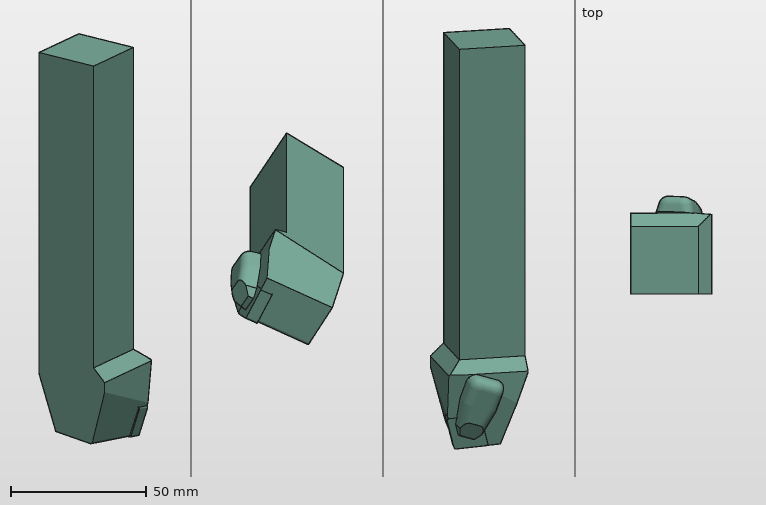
import cadquery as cq
import math

total_height = 152.4
shank_width = 25.0
head_width = 30.0
flare_start = 33.8
flare_drop = 4.7
head_depth = 29.9
blank_bottom = -7.6

lean_angle_x = 4.7
lean_angle_z = 7.9
side_wall_angle = 15.0
end_wall_angle = 5.0
back_wall_angle = 20.0
back_wall_start = 26.2
head_corner_x = 24.2
head_corner_z = 3.7
head_corner_radius = 0.9

insert_side = 12.6
insert_angle = 90 + side_wall_angle - end_wall_angle
insert_thickness = 4.7
insert_corner_radius = 0.8
insert_tip = cq.Vector(27.0, 25.6, -0.05)

clamp_angle = 18.0
clamp_end_x = 15.4
clamp_end_z = 27.9
clamp_half_width = 7.3
clamp_shoulder = 10.7
clamp_neck_half_width = 5.3
clamp_neck = 21.0
clamp_nose_half_width = 3.0
clamp_length = 24.7
clamp_height = 6.2
clamp_draft = 14.0
clamp_corner_radius = 3.7
clamp_edge_radius = 3.5
nose_slope_start = 16.9
nose_slope_angle = 30.0


def sin(angle):
    return math.sin(math.radians(angle))


def cos(angle):
    return math.cos(math.radians(angle))


def tan(angle):
    return math.tan(math.radians(angle))


lean_direction = cq.Vector(tan(lean_angle_x), 1, -tan(lean_angle_z))


def rake_plane(x, z, direction):
    """Plane of the rake face with its origin at x and z, its X axis being the direction laid flat into it."""
    lean = lean_direction
    y = insert_tip.y - lean.x * (x - insert_tip.x) - lean.z * (z - insert_tip.z)
    flat = direction - lean * (direction.dot(lean) / lean.dot(lean))
    return cq.Plane(origin=(x, y, z), xDir=flat.toTuple(), normal=lean.toTuple())


def placed(shape, plane):
    """The shape moved from the world axes into the axes of the plane."""
    return cq.Workplane(shape.val().moved(cq.Location(plane)))


def flared_profile(plane, full_width, extrusion):
    """Shank profile that widens into the head at the flare."""
    flare_slope = flare_drop / (head_width - shank_width)
    flare_end = flare_start - flare_slope * (full_width - shank_width)
    outline = [
        (0, blank_bottom),
        (full_width, blank_bottom),
        (full_width, flare_end),
        (shank_width, flare_start),
        (shank_width, total_height),
        (0, total_height),
    ]
    return cq.Workplane(plane).polyline(outline).close().extrude(extrusion)


def make_relief_envelope():
    """Prism along the leaning direction, whose lower sides are the back, end and side walls."""
    wall_top = total_height + head_depth
    meet_x = (back_wall_start - head_corner_z - head_corner_x * tan(end_wall_angle)) / (
        1 / tan(back_wall_angle) - tan(end_wall_angle)
    )
    meet_z = back_wall_start - meet_x / tan(back_wall_angle)
    outline = [
        (meet_x, meet_z),
        (head_corner_x, head_corner_z),
        (head_corner_x + (wall_top - head_corner_z) * tan(side_wall_angle), wall_top),
        ((back_wall_start - wall_top) * tan(back_wall_angle), wall_top),
    ]
    wire = cq.Wire.makePolygon([cq.Vector(x, 0, z) for x, z in outline], close=True)
    corner = [v for v in wire.Vertices() if v.X == head_corner_x]
    wire = wire.fillet2D(head_corner_radius, corner)
    return cq.Workplane(cq.Solid.extrudeLinear(wire, [], lean_direction * head_depth))


def make_rake_cutter():
    """Block that removes all of the head above the rake face."""
    size = 4 * head_width
    cutter = cq.Workplane().box(size, size, head_depth, centered=(True, True, False))
    return placed(cutter, rake_plane(insert_tip.x, insert_tip.z, cq.Vector(1, 0, 0)))


def make_insert():
    """Insert body, its upper side lying in the rake face."""
    corner_run = insert_side * cos(insert_angle)
    corner_rise = insert_side * sin(insert_angle)
    outline = [
        (0, 0),
        (insert_side, 0),
        (insert_side + corner_run, corner_rise),
        (corner_run, corner_rise),
    ]
    insert_body = (
        cq.Workplane()
        .workplane(offset=-insert_thickness)
        .polyline(outline)
        .close()
        .extrude(insert_thickness)
        .edges("|Z")
        .fillet(insert_corner_radius)
    )
    end_edge = cq.Vector(-cos(end_wall_angle), 0, sin(end_wall_angle))
    return placed(insert_body, rake_plane(insert_tip.x, insert_tip.z, end_edge))


def make_clamp():
    """Drafted clamp with rounded edges and a sloping nose."""
    left_side = [
        (-clamp_half_width, -clamp_height),
        (-clamp_half_width, clamp_shoulder),
        (-clamp_neck_half_width, clamp_neck),
        (-clamp_nose_half_width, clamp_length),
    ]
    right_side = [(-x, y) for x, y in reversed(left_side)]
    clamp = (
        cq.Workplane()
        .polyline(left_side + right_side)
        .close()
        .extrude(clamp_height, taper=clamp_draft)
    )
    end_cutter = cq.Workplane().rect(3 * clamp_half_width, 2 * clamp_height).extrude(clamp_height)
    clamp = (
        clamp.cut(end_cutter.translate((0, -clamp_height, 0)))
        .faces("<Y")
        .edges("not |X")
        .fillet(clamp_corner_radius)
    )
    slope_run = clamp_length - nose_slope_start
    nose_cutter = (
        cq.Workplane("YZ")
        .polyline([
            (nose_slope_start, clamp_height),
            (clamp_length, clamp_height),
            (clamp_length, clamp_height - slope_run * tan(nose_slope_angle)),
        ])
        .close()
        .extrude(clamp_half_width, both=True)
    )
    clamp = clamp.cut(nose_cutter)
    clamp = clamp.faces(">Z").edges("not(>Y)").fillet(clamp_edge_radius)
    across = cq.Vector(cos(clamp_angle), 0, sin(clamp_angle))
    return placed(clamp, rake_plane(clamp_end_x, clamp_end_z, across))


def make_holder(insert):
    """Shank and head with the insert pocket and the clamp."""
    side_profile = flared_profile("XZ", head_width, -head_depth)
    edge_profile = flared_profile("YZ", head_depth, head_width)
    body = side_profile.intersect(edge_profile).intersect(make_relief_envelope())
    body = body.cut(make_rake_cutter()).cut(insert)
    return body.union(make_clamp())


insert = make_insert()
holder = make_holder(insert)

result = cq.Compound.makeCompound([holder.val(), insert.val()])